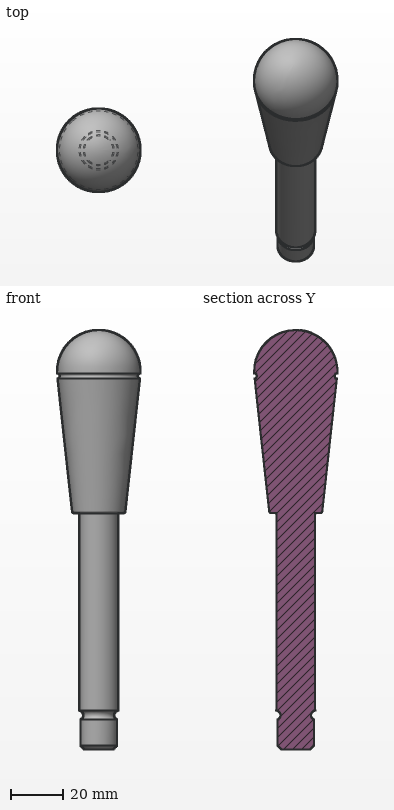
import cadquery as cq
import math

total_height = 160.0
ball_radius = 16.0

thread_radius = 14.0 / 2
tip_chamfer = 1.6

shaft_radius = 15.0 / 2

neck_radius = 11.8 / 2
neck_height = 13.1
neck_arc_radius = 1.8
neck_arc_center = neck_radius + neck_arc_radius
thread_top = neck_height - math.sqrt(neck_arc_radius**2 - (neck_arc_center - thread_radius) ** 2)
shaft_bottom = neck_height + math.sqrt(neck_arc_radius**2 - (neck_arc_center - shaft_radius) ** 2)

grip_bottom = 90.0
grip_bottom_radius = 20.5 / 2
grip_fillet = 1.0
grip_top_radius = 31.5 / 2

groove_height = 142.4
groove_half_width = 1.0
groove_depth = 0.8
groove_radius = grip_top_radius - groove_depth
grip_top = groove_height - groove_half_width
cap_bottom = groove_height + groove_half_width
ball_center = total_height - ball_radius
cap_bottom_radius = math.sqrt(ball_radius**2 - (ball_center - cap_bottom) ** 2)

result = (
    cq.Workplane("XZ")
    .lineTo(thread_radius - tip_chamfer, 0)
    .lineTo(thread_radius, tip_chamfer)
    .lineTo(thread_radius, thread_top)
    .radiusArc((neck_radius, neck_height), neck_arc_radius)
    .radiusArc((shaft_radius, shaft_bottom), neck_arc_radius)
    .lineTo(shaft_radius, grip_bottom)
    .lineTo(grip_bottom_radius - grip_fillet, grip_bottom)
    .radiusArc((grip_bottom_radius, grip_bottom + grip_fillet), -grip_fillet)
    .lineTo(grip_top_radius, grip_top)
    .threePointArc((groove_radius, groove_height), (cap_bottom_radius, cap_bottom))
    .radiusArc((0, total_height), -ball_radius)
    .close()
    .revolve(360, (0, 0, 0), (0, 1, 0))
)